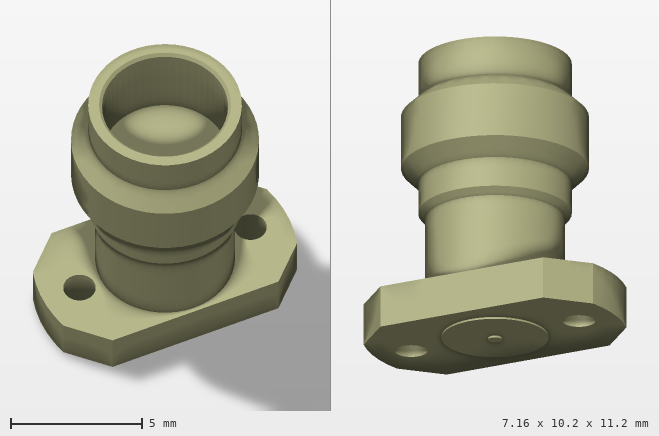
import cadquery as cq
import math

TOTAL_HEIGHT = 11.25
COLLAR_CONE_TOP = 9.72
COLLAR_TOP = 9.09
COLLAR_BOTTOM = 6.98
COLLAR_CONE_BOTTOM = 6.33
NECK_BOTTOM = 5.16
BARREL_TOP = 4.88
FLANGE_TOP = 1.8
FLANGE_BOTTOM = 0.16
DISC_BOTTOM = 0.08

NECK_RADIUS = 2.92
COLLAR_RADIUS = 3.58
BARREL_RADIUS = 2.67
DISC_RADIUS = 2.04
PIN_RADIUS = 0.27

BORE_RADIUS = 2.4
BORE_DEPTH = 3.09
MOUTH_RADIUS = 2.51
MOUTH_CHAMFER_DEPTH = 0.11

FLANGE_WIDTH = 5.67
FLANGE_LENGTH = 10.16
CORNER_CUT = 1.42
HOLE_RADIUS = 0.62
HOLE_OFFSET = 3.57


def make_flange():
    """Plate with 45 degree corner cuts and ends rounded about the body axis."""
    half_width = FLANGE_WIDTH / 2
    half_length = FLANGE_LENGTH / 2
    end_x = half_width - CORNER_CUT
    end_y = math.sqrt(half_length**2 - end_x**2)
    side_y = end_y - CORNER_CUT
    plate = (
        cq.Workplane("XY", origin=(0, 0, FLANGE_BOTTOM))
        .moveTo(half_width, -side_y)
        .lineTo(half_width, side_y)
        .lineTo(end_x, end_y)
        .threePointArc((0, half_length), (-end_x, end_y))
        .lineTo(-half_width, side_y)
        .lineTo(-half_width, -side_y)
        .lineTo(-end_x, -end_y)
        .threePointArc((0, -half_length), (end_x, -end_y))
        .close()
        .extrude(FLANGE_TOP - FLANGE_BOTTOM)
    )
    return (
        plate.faces(">Z")
        .workplane(origin=(0, 0, FLANGE_TOP))
        .pushPoints([(0, HOLE_OFFSET), (0, -HOLE_OFFSET)])
        .hole(2 * HOLE_RADIUS)
    )


def make_body():
    """Stepped round body with its socket, base disc and contact pin."""
    profile = [
        (0, 0),
        (PIN_RADIUS, 0),
        (PIN_RADIUS, DISC_BOTTOM),
        (DISC_RADIUS, DISC_BOTTOM),
        (DISC_RADIUS, FLANGE_TOP),
        (BARREL_RADIUS, FLANGE_TOP),
        (BARREL_RADIUS, BARREL_TOP),
        (NECK_RADIUS, NECK_BOTTOM),
        (NECK_RADIUS, COLLAR_CONE_BOTTOM),
        (COLLAR_RADIUS, COLLAR_BOTTOM),
        (COLLAR_RADIUS, COLLAR_TOP),
        (NECK_RADIUS, COLLAR_CONE_TOP),
        (NECK_RADIUS, TOTAL_HEIGHT),
        (MOUTH_RADIUS, TOTAL_HEIGHT),
        (BORE_RADIUS, TOTAL_HEIGHT - MOUTH_CHAMFER_DEPTH),
        (BORE_RADIUS, TOTAL_HEIGHT - BORE_DEPTH),
        (0, TOTAL_HEIGHT - BORE_DEPTH),
    ]
    return cq.Workplane("XZ").polyline(profile).close().revolve(360, (0, 0, 0), (0, 1, 0))


result = make_flange().union(make_body())